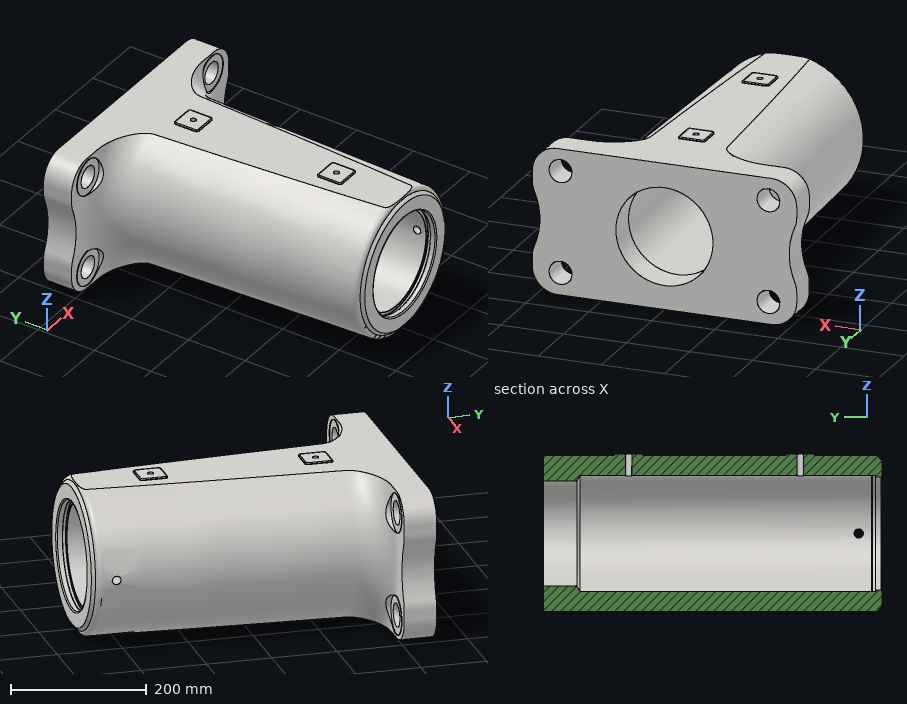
import cadquery as cq
import math

total_length = 500.0

flange_width = 420.0
flange_height = 230.0
flange_thickness = 50.0
corner_radius = 40.0
waist_depth = 12.0
waist_radius = 110.0

bolt_spacing_x = 330.0
bolt_spacing_z = 160.0
bolt_hole_diameter = 36.0
spotface_diameter = 60.0
spotface_depth = 1.0

root_diameter = 360.0
root_fillet = 50.0
taper_slope = 1 / 40
taper_angle = math.atan(taper_slope)
nose_fillet = 8.0
lip_height = 5.0

mouth_diameter = 170.0
mouth_chamfer = 2.0
seat_diameter = 166.0
groove_start = 10.0
groove_end = 15.0
groove_diameter = 170.0
inner_lip_diameter = 160.0
inner_lip_width = 1.0
bore_diameter = 170.0
neck_diameter = 154.0
neck_length = 50.0
neck_cone_angle = math.radians(30.0)

port_diameter = 13.0
port_position = 465.0

pad_size = 43.0
pad_height = 2.5
pad_corner_radius = 5.0
pad_edge_chamfer = 1.5
pad_positions = (126.0, 379.0)
pad_hole_diameter = 8.8


def make_flange():
    """Plate with rounded corners and a smoothly blended waist on each short side."""
    half_width = flange_width / 2
    half_height = flange_height / 2
    blend_distance = corner_radius + waist_radius
    waist_half = math.sqrt(blend_distance**2 - (blend_distance - waist_depth) ** 2)
    blend_angle = math.asin(waist_half / blend_distance)
    blend_mid_x = half_width - corner_radius * (1 - math.cos(blend_angle / 2))
    blend_mid_z = waist_half - corner_radius * math.sin(blend_angle / 2)
    blend_end_x = half_width - corner_radius * (1 - math.cos(blend_angle))
    blend_end_z = waist_half - corner_radius * math.sin(blend_angle)
    corner_x = half_width - corner_radius
    corner_z = half_height - corner_radius
    corner_mid = corner_radius * math.sqrt(0.5)

    def add_side(outline, side):
        """Trace one short side, downwards for side = 1 and upwards for side = -1."""
        return (
            outline.threePointArc(
                (side * (corner_x + corner_mid), side * (corner_z + corner_mid)),
                (side * half_width, side * corner_z),
            )
            .lineTo(side * half_width, side * waist_half)
            .threePointArc((side * blend_mid_x, side * blend_mid_z), (side * blend_end_x, side * blend_end_z))
            .threePointArc((side * (half_width - waist_depth), 0), (side * blend_end_x, -side * blend_end_z))
            .threePointArc((side * blend_mid_x, -side * blend_mid_z), (side * half_width, -side * waist_half))
            .lineTo(side * half_width, -side * corner_z)
            .threePointArc(
                (side * (corner_x + corner_mid), -side * (corner_z + corner_mid)),
                (side * corner_x, -side * half_height),
            )
        )

    outline = cq.Workplane("XZ").moveTo(-corner_x, half_height).lineTo(corner_x, half_height)
    outline = add_side(outline, 1).lineTo(-corner_x, -half_height)
    outline = add_side(outline, -1)
    return outline.close().extrude(flange_thickness)


def make_tube():
    """Tapered tube with a flared root and a rounded nose, cut flat above and below."""
    root_radius = root_diameter / 2
    cos_taper = math.cos(taper_angle)
    sin_taper = math.sin(taper_angle)

    flare_center = flange_thickness + root_fillet
    flare_end_r = root_radius - root_fillet * cos_taper
    flare_end = flare_center - root_fillet * sin_taper
    mid_angle = (math.pi / 2 + taper_angle) / 2
    flare_mid_r = root_radius - root_fillet * math.cos(mid_angle)
    flare_mid = flare_center - root_fillet * math.sin(mid_angle)

    lip_start = total_length - lip_height
    nose_center = lip_start - nose_fillet
    cone_r_at_nose = flare_end_r - (nose_center - flare_end) * taper_slope
    nose_center_r = cone_r_at_nose - nose_fillet / cos_taper

    profile = (
        cq.Workplane("XY")
        .moveTo(0, 0)
        .lineTo(root_radius, 0)
        .lineTo(root_radius, -flange_thickness)
        .threePointArc((flare_mid_r, -flare_mid), (flare_end_r, -flare_end))
        .lineTo(nose_center_r + nose_fillet * cos_taper, -(nose_center + nose_fillet * sin_taper))
        .threePointArc(
            (
                nose_center_r + nose_fillet * math.cos(mid_angle),
                -(nose_center + nose_fillet * math.sin(mid_angle)),
            ),
            (nose_center_r, -lip_start),
        )
        .lineTo(nose_center_r - lip_height, -total_length)
        .lineTo(0, -total_length)
        .close()
    )
    tube = profile.revolve(360, (0, 0), (0, 1))
    slab = cq.Workplane("XY").box(root_diameter, 2 * total_length, flange_height)
    return tube.intersect(slab)


def make_bore():
    """Through bore: seat, groove and thin lip at the mouth, conical step to a neck at the flange."""
    mouth_radius = mouth_diameter / 2
    seat_radius = seat_diameter / 2
    groove_radius = groove_diameter / 2
    bore_radius = bore_diameter / 2
    inner_lip_radius = inner_lip_diameter / 2
    neck_radius = neck_diameter / 2
    cone_length = (bore_radius - neck_radius) * math.tan(neck_cone_angle)
    inner_lip_back = total_length - groove_end - inner_lip_width
    return (
        cq.Workplane("XY")
        .moveTo(0, 0)
        .lineTo(neck_radius, 0)
        .lineTo(neck_radius, -neck_length)
        .lineTo(bore_radius, -(neck_length + cone_length))
        .lineTo(bore_radius, -inner_lip_back)
        .lineTo(inner_lip_radius, -inner_lip_back)
        .lineTo(inner_lip_radius, -(total_length - groove_end))
        .lineTo(groove_radius, -(total_length - groove_end))
        .lineTo(groove_radius, -(total_length - groove_start))
        .lineTo(seat_radius, -(total_length - groove_start))
        .lineTo(seat_radius, -(total_length - mouth_chamfer))
        .lineTo(mouth_radius, -total_length)
        .lineTo(0, -total_length)
        .close()
        .revolve(360, (0, 0), (0, 1))
    )


def make_port():
    """Round hole along +X from the tube axis out through the wall."""
    return (
        cq.Workplane("YZ", origin=(0, -port_position, 0))
        .circle(port_diameter / 2)
        .extrude(root_diameter / 2)
    )


def cut_bolt_holes(body):
    """Four through holes, each spotfaced through the flared root on the tube side."""
    spotface_floor = flange_thickness - spotface_depth
    centers = cq.Workplane("XZ").rarray(bolt_spacing_x, bolt_spacing_z, 2, 2)
    holes = centers.circle(bolt_hole_diameter / 2).extrude(flange_thickness)
    spotface_centers = cq.Workplane("XZ", origin=(0, -spotface_floor, 0)).rarray(
        bolt_spacing_x, bolt_spacing_z, 2, 2
    )
    spotfaces = spotface_centers.circle(spotface_diameter / 2).extrude(root_fillet)
    return body.cut(holes).cut(spotfaces)


def make_pad(position):
    """Square pad standing on the top flat at a distance from the flange back."""
    return (
        cq.Workplane("XY", origin=(0, -position, flange_height / 2))
        .rect(pad_size, pad_size)
        .extrude(pad_height)
        .edges("|Z")
        .fillet(pad_corner_radius)
        .faces(">Z")
        .edges()
        .chamfer(pad_edge_chamfer)
    )


def make_pad_hole(position):
    """Radial hole from the pad top into the bore."""
    return (
        cq.Workplane("XY", origin=(0, -position, 0))
        .circle(pad_hole_diameter / 2)
        .extrude(flange_height / 2 + pad_height)
    )


result = make_flange().union(make_tube())
for pad_position in pad_positions:
    result = result.union(make_pad(pad_position))
result = result.cut(make_bore()).cut(make_port())
result = cut_bolt_holes(result)
for pad_position in pad_positions:
    result = result.cut(make_pad_hole(pad_position))